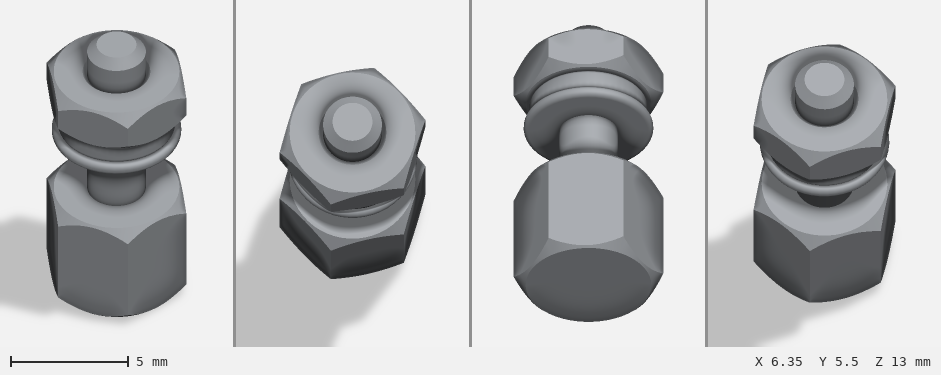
import cadquery as cq
import math

total_height = 13.0
head_height = 5.0
flat_washer_base = 8.0
flat_washer_height = 0.5
lock_washer_height = 1.0
nut_height = 2.0

across_flats = 5.5
across_corners = across_flats / math.cos(math.pi / 6)
hex_face_diameter = 5.33
hex_chamfer = (across_corners - hex_face_diameter) / 2

stud_diameter = 2.5
stud_tip_chamfer = 0.4
nut_countersink_diameter = 2.87
flat_washer_diameter = across_flats
flat_washer_rim_radius = 0.22
lock_washer_diameter = 5.0
lock_washer_rim_radius = 0.2

lock_washer_base = flat_washer_base + flat_washer_height
nut_base = lock_washer_base + lock_washer_height


def chamfered_hexagon(base, height):
    """Hexagonal prism whose corners are turned down to a circle at both ends."""
    prism = cq.Workplane("XY").workplane(offset=base).polygon(6, across_corners).extrude(height)
    turned_blank = (
        cq.Workplane("XY").workplane(offset=base)
        .circle(across_corners / 2).extrude(height)
        .edges().chamfer(hex_chamfer)
    )
    return prism.intersect(turned_blank)


def make_screw():
    """Hexagonal head with a plain stud ending in a chamfered tip."""
    stud = (
        cq.Workplane("XY").workplane(offset=head_height)
        .circle(stud_diameter / 2).extrude(total_height - head_height)
        .faces(">Z").edges().chamfer(stud_tip_chamfer)
    )
    return chamfered_hexagon(0, head_height).union(stud)


def make_washer(base, height, diameter, rim_radius):
    """Round washer fitting the stud, with its outer rim rounded on both faces."""
    disc = (
        cq.Workplane("XY").workplane(offset=base)
        .circle(diameter / 2).extrude(height)
        .edges().fillet(rim_radius)
    )
    bore = cq.Workplane("XY").workplane(offset=base).circle(stud_diameter / 2).extrude(height)
    return disc.cut(bore)


def make_nut():
    """Hexagonal nut with a 45 degree countersink at both ends of its bore."""
    countersink_depth = (nut_countersink_diameter - stud_diameter) / 2
    bore = cq.Workplane("XY").workplane(offset=nut_base).circle(stud_diameter / 2).extrude(nut_height)
    nut = chamfered_hexagon(nut_base, nut_height).cut(bore)
    bore_edges = cq.selectors.RadiusNthSelector(0)
    return nut.edges("%CIRCLE").edges(bore_edges).chamfer(countersink_depth)


screw = make_screw()
flat_washer = make_washer(
    flat_washer_base, flat_washer_height, flat_washer_diameter, flat_washer_rim_radius
)
lock_washer = make_washer(
    lock_washer_base, lock_washer_height, lock_washer_diameter, lock_washer_rim_radius
)
nut = make_nut()

bodies = [screw, flat_washer, lock_washer, nut]
result = cq.Compound.makeCompound([body.solids().val() for body in bodies])